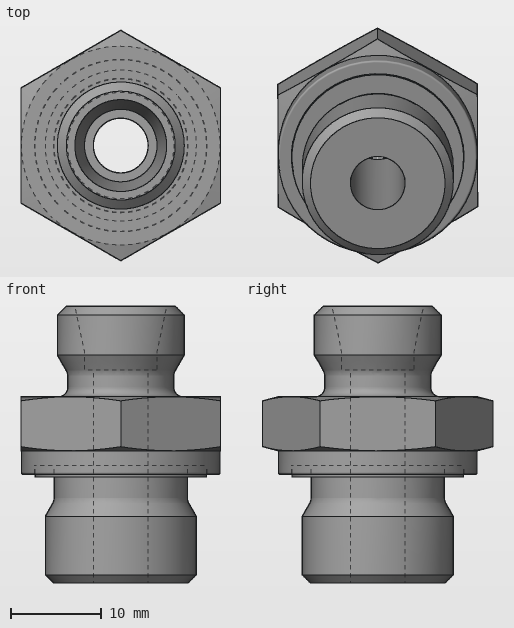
import cadquery as cq
import math

total_height = 30.5
lower_thread_top = 7.35
flange_bottom = 11.95
hex_bottom = 14.55
hex_top = 20.53
upper_thread_bottom = 25.1

lower_thread_radius = 16.65 / 2
lower_neck_radius = 14.7 / 2
lower_chamfer = 0.9
lower_neck_blend = 1.1

hex_across_flats = 22.0
flange_radius = 21.9 / 2
flange_edge_fillet = 0.2
hex_chamfer_angle = 15.0

upper_thread_radius = 14.0 / 2
upper_neck_radius = 11.7 / 2
upper_chamfer = 1.0
upper_neck_blend = 1.0
undercut_angle = 30.0

bore_radius = 6.0 / 2
socket_radius = 8.0 / 2
socket_depth = 7.0
mouth_radius = 10.13 / 2
mouth_half_angle = 12.0

ring_radius = 18.9 / 2
groove_radius = 19.0 / 2
groove_depth = 1.0
ring_projection = 0.3


def undercut_height(outer_radius, inner_radius):
    """Axial length of the cone joining a thread to its undercut neck."""
    return (outer_radius - inner_radius) / math.tan(math.radians(undercut_angle))


def box_around_circle(radius, height):
    """Selector for edges lying within a flat box around a circle on the Z axis."""
    thickness = 0.003
    return cq.selectors.BoxSelector(
        (-radius, -radius, height - thickness),
        (radius, radius, height + thickness),
        boundingbox=True,
    )


def round_edge(solid, radius, height):
    """Circular edge of the given radius at the given height, without smaller circles beside it."""
    margin = 0.003
    wanted = box_around_circle(radius + margin, height) - box_around_circle(radius - margin, height)
    return solid.edges(wanted)


def make_stud_body():
    """Turned shape of both studs, with the flange continued as a core through the hexagon."""
    lower_cone_top = lower_thread_top + undercut_height(lower_thread_radius, lower_neck_radius)
    upper_cone_bottom = upper_thread_bottom - undercut_height(upper_thread_radius, upper_neck_radius)
    profile = [
        (0, 0),
        (lower_thread_radius - lower_chamfer, 0),
        (lower_thread_radius, lower_chamfer),
        (lower_thread_radius, lower_thread_top),
        (lower_neck_radius, lower_cone_top),
        (lower_neck_radius, flange_bottom),
        (flange_radius, flange_bottom),
        (flange_radius, hex_top),
        (upper_neck_radius, hex_top),
        (upper_neck_radius, upper_cone_bottom),
        (upper_thread_radius, upper_thread_bottom),
        (upper_thread_radius, total_height - upper_chamfer),
        (upper_thread_radius - upper_chamfer, total_height),
        (0, total_height),
    ]
    body = cq.Workplane("XZ").polyline(profile).close().revolve(360, (0, 0), (0, 1))
    body = round_edge(body, lower_neck_radius, lower_cone_top).fillet(lower_neck_blend)
    body = round_edge(body, upper_neck_radius, upper_cone_bottom).fillet(upper_neck_blend)
    body = round_edge(body, upper_neck_radius, hex_top).fillet(upper_neck_blend)
    return round_edge(body, flange_radius, flange_bottom).fillet(flange_edge_fillet)


def make_hexagon():
    """Hexagon with corners on the Y axis and conical chamfers at both ends."""
    corner_radius = hex_across_flats / math.sqrt(3)
    chamfer_height = (corner_radius - flange_radius) * math.tan(math.radians(hex_chamfer_angle))
    prism = (
        cq.Workplane("XY", origin=(0, 0, hex_bottom))
        .transformed(rotate=(0, 0, 90))
        .polygon(6, 2 * corner_radius)
        .extrude(hex_top - hex_bottom)
    )
    envelope_profile = [
        (0, hex_bottom),
        (flange_radius, hex_bottom),
        (corner_radius, hex_bottom + chamfer_height),
        (corner_radius, hex_top - chamfer_height),
        (flange_radius, hex_top),
        (0, hex_top),
    ]
    envelope = cq.Workplane("XZ").polyline(envelope_profile).close().revolve(360, (0, 0), (0, 1))
    return prism.intersect(envelope)


def make_passage():
    """Through bore, stepped tube socket and conical mouth, as one cutting solid."""
    mouth_depth = (mouth_radius - socket_radius) / math.tan(math.radians(mouth_half_angle))
    profile = [
        (0, 0),
        (bore_radius, 0),
        (bore_radius, total_height - socket_depth),
        (socket_radius, total_height - socket_depth),
        (socket_radius, total_height - mouth_depth),
        (mouth_radius, total_height),
        (0, total_height),
    ]
    return cq.Workplane("XZ").polyline(profile).close().revolve(360, (0, 0), (0, 1))


def make_annulus(outer_radius, bottom, height):
    """Flat ring around the lower neck."""
    return (
        cq.Workplane("XY", origin=(0, 0, bottom))
        .circle(outer_radius)
        .circle(lower_neck_radius)
        .extrude(height)
    )


def make_fitting():
    """Hexagon fitting with its passage and seal groove."""
    groove = make_annulus(groove_radius, flange_bottom, groove_depth)
    return make_stud_body().union(make_hexagon()).cut(make_passage()).cut(groove)


def make_seal_ring():
    """Seal ring seated on the groove floor and standing proud of the flange."""
    return make_annulus(ring_radius, flange_bottom - ring_projection, groove_depth + ring_projection)


fitting = make_fitting()
seal_ring = make_seal_ring()

result = cq.Compound.makeCompound([fitting.solids().val(), seal_ring.val()])